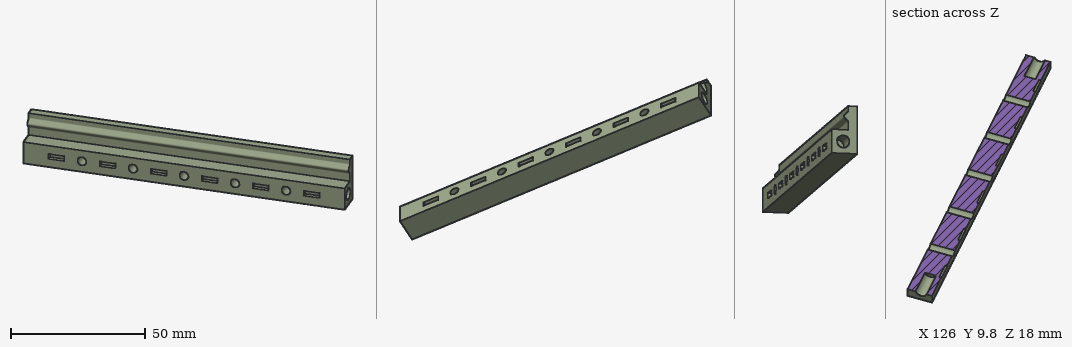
import cadquery as cq

LENGTH = 126.0
DEPTH = 9.8
HEIGHT = 18.0

BLOCK_HEIGHT = 9.0
UPRIGHT_THICKNESS = 3.5
UPRIGHT_FRONT = DEPTH - UPRIGHT_THICKNESS

RIDGE_HEIGHT = 14.1
RIDGE_HALF_WIDTH = 1.9
RIDGE_PROJECTION = RIDGE_HALF_WIDTH
RIDGE_CREST_RADIUS = 0.6
RIDGE_ROOT_RADIUS = 0.5

BORE_DIAMETER = 4.7
BORE_DEPTH = 10.1
BORE_FROM_BACK = 5.4

ROW_HEIGHT = BLOCK_HEIGHT / 2
HOLE_COUNT = 5
HOLE_DIAMETER = 3.4
SLOT_COUNT = HOLE_COUNT + 1
END_MARGIN = 13.0
ROW_PITCH = (LENGTH - 2 * END_MARGIN) / (SLOT_COUNT - 1)
SLOT_LENGTH = 6.2
SLOT_HEIGHT = 2.0
SLOT_DEPTH = 1.3
SLOT_TAPER = 10.0


def edge_along_length(y, z):
    """Selector for the lengthwise edge that passes through (y, z)."""
    return cq.selectors.NearestToPointSelector((LENGTH / 2, y, z))


def rail():
    """L-shaped bar with the snap ridge, rounded at its crest and roots."""
    crest_y = UPRIGHT_FRONT - RIDGE_PROJECTION
    ridge_bottom = RIDGE_HEIGHT - RIDGE_HALF_WIDTH
    ridge_top = RIDGE_HEIGHT + RIDGE_HALF_WIDTH
    section = [
        (0, 0),
        (DEPTH, 0),
        (DEPTH, HEIGHT),
        (UPRIGHT_FRONT, HEIGHT),
        (UPRIGHT_FRONT, ridge_top),
        (crest_y, RIDGE_HEIGHT),
        (UPRIGHT_FRONT, ridge_bottom),
        (UPRIGHT_FRONT, BLOCK_HEIGHT),
        (0, BLOCK_HEIGHT),
    ]
    bar = cq.Workplane("YZ").polyline(section).close().extrude(LENGTH)
    bar = bar.edges(edge_along_length(crest_y, RIDGE_HEIGHT)).fillet(RIDGE_CREST_RADIUS)
    for root_z in (ridge_bottom, ridge_top):
        bar = bar.edges(edge_along_length(UPRIGHT_FRONT, root_z)).fillet(RIDGE_ROOT_RADIUS)
    return bar


def on_front(count):
    """Evenly pitched points along the front face, centred on the length."""
    first_x = LENGTH / 2 - (count - 1) * ROW_PITCH / 2
    places = [(first_x + i * ROW_PITCH, ROW_HEIGHT) for i in range(count)]
    return cq.Workplane("XZ").pushPoints(places)


def holes():
    """Round holes from front to back, midway between the slots."""
    return on_front(HOLE_COUNT).circle(HOLE_DIAMETER / 2).extrude(-DEPTH)


def slots():
    """Shallow pockets that narrow towards their floors."""
    return on_front(SLOT_COUNT).rect(SLOT_LENGTH, SLOT_HEIGHT).extrude(-SLOT_DEPTH, taper=SLOT_TAPER)


def bores():
    """One bore running inwards from each end."""
    end_face = cq.Workplane("YZ").center(DEPTH - BORE_FROM_BACK, ROW_HEIGHT)
    left_bore = end_face.circle(BORE_DIAMETER / 2).extrude(BORE_DEPTH)
    right_bore = left_bore.translate((LENGTH - BORE_DEPTH, 0, 0))
    return left_bore.union(right_bore)


result = rail().cut(holes()).cut(slots()).cut(bores())